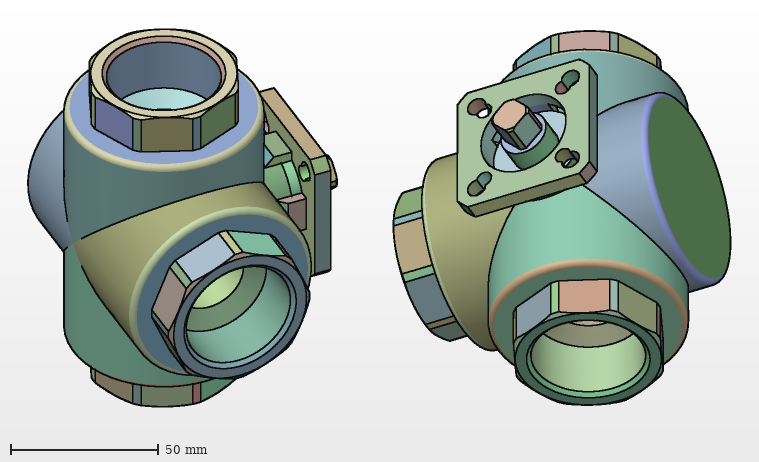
import cadquery as cq
import math

body_diameter = 68.0
body_radius = body_diameter / 2
port_face = 47.1
closed_end = 38.0
body_edge_radius = 2.0

port_end = 61.5
octagon_across_flats = 49.9
octagon_corner_radius = 26.5
octagon_end_radius = 24.8
octagon_bevel_height = 0.9

thread_diameter = 39.0
thread_depth = 20.9
thread_chamfer = 1.5
bore_diameter = 25.5
bore_cone_angle = 60.0

boss_diameter = 32.0
boss_top = 41.0
boss_foot = 24.6
collar_diameter = 17.0
stem_across_flats = 11.2
stem_corner_diameter = 13.9
overall_depth = 96.0
stem_end = overall_depth - body_radius
stem_chamfer = 0.7

plate_side = 49.7
plate_bottom = 44.9
plate_thickness = 6.0
plate_top = plate_bottom + plate_thickness
plate_corner_diameter = 65.1
plate_opening_diameter = boss_diameter
inner_holes = (42.0, 5.5)
outer_holes = (49.9, 6.6)
leg_width = 12.9
leg_outer = 18.2
leg_taper_start = 38.1


def cylinder_y(diameter, start, end):
    """Cylinder on the Y axis between two Y positions."""
    plane = cq.Workplane("XZ", origin=(0, start, 0))
    return plane.circle(diameter / 2).extrude(start - end)


def rounded_barrel(start, end):
    """Body cylinder on the Z axis with rounded end edges."""
    barrel = cq.Workplane("XY", origin=(0, 0, start)).circle(body_radius).extrude(end - start)
    return barrel.edges("%CIRCLE").fillet(body_edge_radius)


def octagon_socket():
    """Octagon along +Z with its corners turned round and bevelled at the open end."""
    octagon = (
        cq.Workplane("XY")
        .polygon(8, octagon_across_flats / math.cos(math.pi / 8))
        .extrude(port_end)
    )
    turned_outline = (
        cq.Workplane("XZ")
        .moveTo(0, 0)
        .lineTo(octagon_corner_radius, 0)
        .lineTo(octagon_corner_radius, port_end - octagon_bevel_height)
        .lineTo(octagon_end_radius, port_end)
        .lineTo(0, port_end)
        .close()
        .revolve(360, (0, 0, 0), (0, 1, 0))
    )
    return octagon.intersect(turned_outline)


def port_bore():
    """Threaded counterbore, cone and flow bore of a port along +Z."""
    thread_radius = thread_diameter / 2
    bore_radius = bore_diameter / 2
    thread_bottom = port_end - thread_depth
    cone_height = (thread_radius - bore_radius) / math.tan(math.radians(bore_cone_angle))
    return (
        cq.Workplane("XZ")
        .moveTo(0, 0)
        .lineTo(bore_radius, 0)
        .lineTo(bore_radius, thread_bottom - cone_height)
        .lineTo(thread_radius, thread_bottom)
        .lineTo(thread_radius, port_end - thread_chamfer)
        .lineTo(thread_radius + thread_chamfer, port_end)
        .lineTo(0, port_end)
        .close()
        .revolve(360, (0, 0, 0), (0, 1, 0))
    )


def at_ports(shape):
    """Copies of a +Z shape turned to the +Z, -Z and +X ports."""
    return [shape.rotate((0, 0, 0), (0, 1, 0), angle) for angle in (0, 180, 90)]


def mounting_plate():
    """Square plate with trimmed corners, a central opening and two rings of corner holes."""
    plate = (
        cq.Workplane("XZ", origin=(0, plate_bottom, 0))
        .rect(plate_side, plate_side)
        .extrude(-plate_thickness)
        .intersect(cylinder_y(plate_corner_diameter, plate_bottom, plate_top))
        .cut(cylinder_y(plate_opening_diameter, plate_bottom, plate_top))
    )
    for pitch_diameter, hole_diameter in (inner_holes, outer_holes):
        holes = (
            cq.Workplane("XZ", origin=(0, plate_bottom, 0))
            .polarArray(pitch_diameter / 2, 45, 360, 4)
            .circle(hole_diameter / 2)
            .extrude(-plate_thickness)
        )
        plate = plate.cut(holes)
    return plate


def plate_leg():
    """Leg on the +X side, hugging the boss and tapering into it at 45 degrees."""
    taper_at_axis = leg_taper_start - leg_outer
    leg = (
        cq.Workplane("XY")
        .moveTo(0, taper_at_axis)
        .lineTo(leg_outer, leg_taper_start)
        .lineTo(leg_outer, plate_bottom)
        .lineTo(0, plate_bottom)
        .close()
        .extrude(leg_width / 2, both=True)
    )
    return leg.cut(cylinder_y(boss_diameter, 0, plate_bottom))


def stem():
    """Square stem turned 45 degrees, with rounded corners and a chamfered end."""
    square = (
        cq.Workplane("XZ")
        .rect(stem_across_flats, stem_across_flats)
        .extrude(-stem_end)
        .rotate((0, 0, 0), (0, 1, 0), 45)
    )
    turned_bar = cylinder_y(stem_corner_diameter, 0, stem_end).faces(">Y").chamfer(stem_chamfer)
    return square.intersect(turned_bar)


run_barrel = rounded_barrel(-port_face, port_face)
branch_barrel = rounded_barrel(-closed_end, port_face).rotate((0, 0, 0), (0, 1, 0), 90)
result = run_barrel.union(branch_barrel)

for socket in at_ports(octagon_socket()):
    result = result.union(socket)

result = result.union(cylinder_y(boss_diameter, boss_foot, boss_top))
result = result.union(cylinder_y(collar_diameter, boss_foot, plate_top))

result = result.union(mounting_plate())
for quarter_turn in range(4):
    result = result.union(plate_leg().rotate((0, 0, 0), (0, 1, 0), 90 * quarter_turn))
result = result.union(stem())

for bore in at_ports(port_bore()):
    result = result.cut(bore)